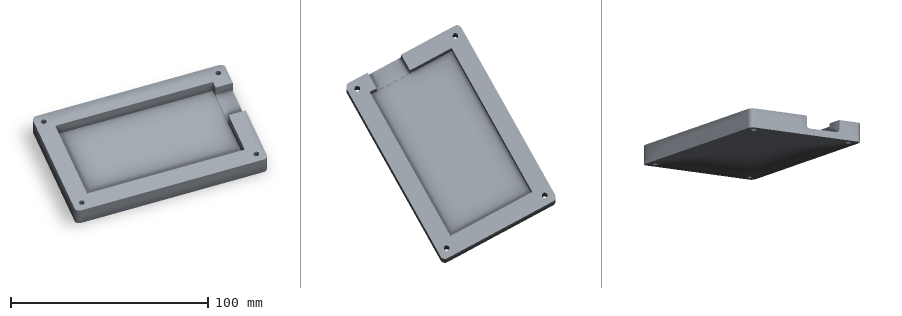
import cadquery as cq

width = 66.3
length = 103.8
height = 10.0
corner_radius = 2.5

side_wall = 9.4
end_wall = 9.3
pocket_depth = 7.0
pocket_width = width - 2 * side_wall
pocket_length = length - 2 * end_wall

hole_diameter = 2.9
hole_inset = 4.8

notch_left = -19.7
notch_width = 19.3
notch_depth = 6.5
notch_fillet = 1.5


def make_body():
    body = cq.Workplane("XY").box(width, length, height, centered=(True, True, False))
    return body.edges("|Z").fillet(corner_radius)


def make_pocket():
    floor = cq.Workplane("XY").workplane(offset=height - pocket_depth)
    return floor.rect(pocket_width, pocket_length).extrude(pocket_depth)


def make_notch():
    """Cutter for the wall opening, running from the pocket to the outer face."""
    notch = cq.Workplane("XY").box(notch_width, end_wall, notch_depth, centered=False)
    notch = notch.edges("|Y and <Z").fillet(notch_fillet)
    return notch.translate((notch_left, length / 2 - end_wall, height - notch_depth))


def make_holes():
    spacing_x = width - 2 * hole_inset
    spacing_y = length - 2 * hole_inset
    centers = cq.Workplane("XY").rect(spacing_x, spacing_y, forConstruction=True).vertices()
    return centers.circle(hole_diameter / 2).extrude(height)


result = make_body().cut(make_pocket()).cut(make_notch()).cut(make_holes())